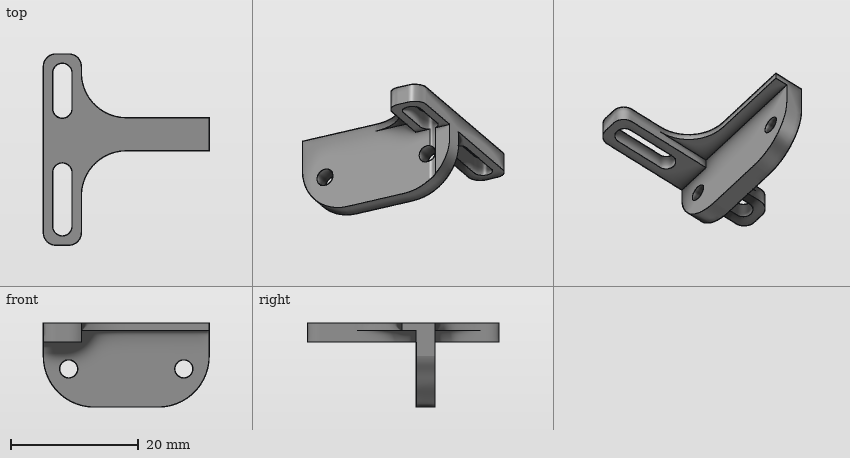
import cadquery as cq

length = 26.0
width = 30.0
height = 13.2

bar_width = 6.0
bar_thickness = 3.0
bar_corner_radius = 2.0

slot_width = 3.0
slot_end_margin = 1.5
back_slot_length = 8.58
front_slot_length = 11.4

arm_width = 5.22
arm_thickness = 1.2
arm_back_offset = 10.0
blend_radius = 7.0

web_thickness = 3.0
web_corner_radius = 8.0
hole_diameter = 2.8
hole_depth_below_top = 7.2
hole_end_margin = 4.0

arm_back_y = width / 2 - arm_back_offset
arm_front_y = arm_back_y - arm_width


def make_crossbar():
    bar = cq.Workplane("XY").box(bar_width, width, bar_thickness, centered=(False, True, False))
    bar = bar.translate((0, 0, -bar_thickness))
    return bar.edges("|Z").fillet(bar_corner_radius)


def make_arm():
    """Thin plate whose sides flare through quarter circles to meet the crossbar."""
    flare_end_x = bar_width + blend_radius
    mid_offset = blend_radius * (1 - 0.5 ** 0.5)
    mid_x = bar_width + mid_offset
    start_x = bar_width / 2
    back_flare_y = arm_back_y + blend_radius
    front_flare_y = arm_front_y - blend_radius
    return (
        cq.Workplane("XY")
        .moveTo(start_x, front_flare_y)
        .lineTo(bar_width, front_flare_y)
        .threePointArc((mid_x, arm_front_y - mid_offset), (flare_end_x, arm_front_y))
        .lineTo(length, arm_front_y)
        .lineTo(length, arm_back_y)
        .lineTo(flare_end_x, arm_back_y)
        .threePointArc((mid_x, arm_back_y + mid_offset), (bar_width, back_flare_y))
        .lineTo(start_x, back_flare_y)
        .close()
        .extrude(-arm_thickness)
    )


def make_web():
    web = cq.Workplane("XY").box(length, web_thickness, height, centered=False)
    web = web.translate((0, arm_back_y - web_thickness, -height))
    return web.faces("<Z").edges("|Y").fillet(web_corner_radius)


def make_slot(center_y, slot_length):
    return (
        cq.Workplane("XY")
        .center(bar_width / 2, center_y)
        .slot2D(slot_length, slot_width, 90)
        .extrude(-height)
    )


def make_web_holes():
    hole_xs = (hole_end_margin, length - hole_end_margin)
    return (
        cq.Workplane("XZ")
        .pushPoints([(x, -hole_depth_below_top) for x in hole_xs])
        .circle(hole_diameter / 2)
        .extrude(width / 2, both=True)
    )


slot_limit_y = width / 2 - slot_end_margin
back_slot = make_slot(slot_limit_y - back_slot_length / 2, back_slot_length)
front_slot = make_slot(front_slot_length / 2 - slot_limit_y, front_slot_length)

result = (
    make_crossbar()
    .union(make_arm())
    .union(make_web())
    .cut(back_slot)
    .cut(front_slot)
    .cut(make_web_holes())
)